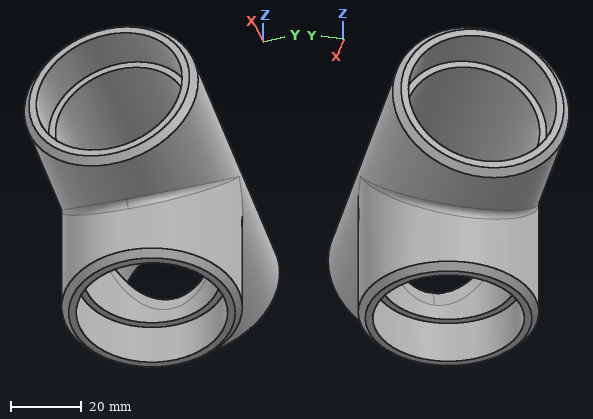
import cadquery as cq

run_length = 90.0
outer_diameter = 51.0
branch_reach = 45.0

bore_diameter = 38.7
socket_diameter = 42.7
socket_depth = 13.0

end_chamfer = 2.0
outer_junction_radius = 2.0
bore_junction_radius = 8.0

half_run = run_length / 2

left_end = cq.Plane(origin=(-half_run, 0, 0), xDir=(0, 1, 0), normal=(1, 0, 0))
right_end = cq.Plane(origin=(half_run, 0, 0), xDir=(0, 1, 0), normal=(-1, 0, 0))
branch_end = cq.Plane(origin=(0, 0, -branch_reach), xDir=(1, 0, 0), normal=(0, 0, 1))
open_ends = (left_end, right_end, branch_end)


def rod(plane, diameter, length):
    """Solid cylinder starting on an open end and running inwards."""
    return cq.Workplane(plane).circle(diameter / 2).extrude(length)


def rounded_tee(diameter, junction_radius):
    """Solid tee of two equal cylinders, with the edges where they meet rounded."""
    run = rod(left_end, diameter, run_length)
    branch = rod(branch_end, diameter, branch_reach)
    tee = run.union(branch)
    return tee.edges("%ELLIPSE").fillet(junction_radius)


def chamfer_ends(body):
    """Bevel the outer rim of all three open ends."""
    return body.faces("<X or >X or <Z").edges("%CIRCLE").chamfer(end_chamfer)


def cut_sockets(body):
    """Widen the mouth of each open end to take a pipe."""
    for end in open_ends:
        body = body.cut(rod(end, socket_diameter, socket_depth))
    return body


outer_body = chamfer_ends(rounded_tee(outer_diameter, outer_junction_radius))
bores = rounded_tee(bore_diameter, bore_junction_radius)
result = cut_sockets(outer_body.cut(bores))